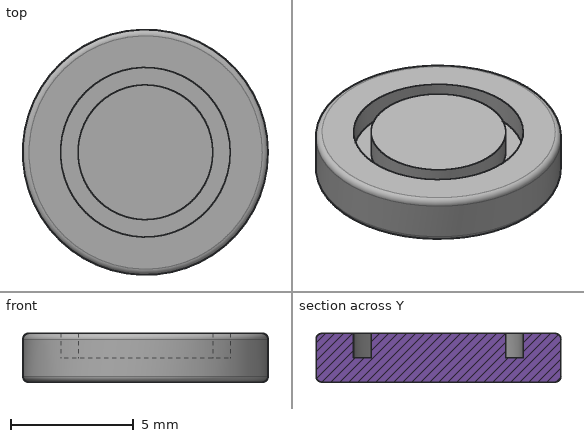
import cadquery as cq

outer_diameter = 10.0
thickness = 2.0
edge_radius = 0.25

groove_outer_diameter = 6.91
island_diameter = 5.49
groove_depth = 1.0


def rounded_disc():
    """Disc resting on Z = 0 with both rims rounded."""
    disc = cq.Workplane("XY").circle(outer_diameter / 2).extrude(thickness)
    return disc.edges("%CIRCLE").fillet(edge_radius)


def groove_ring():
    """Ring of material removed from the top face."""
    return (
        cq.Workplane("XY")
        .workplane(offset=thickness - groove_depth)
        .circle(groove_outer_diameter / 2)
        .circle(island_diameter / 2)
        .extrude(groove_depth)
    )


result = rounded_disc().cut(groove_ring())